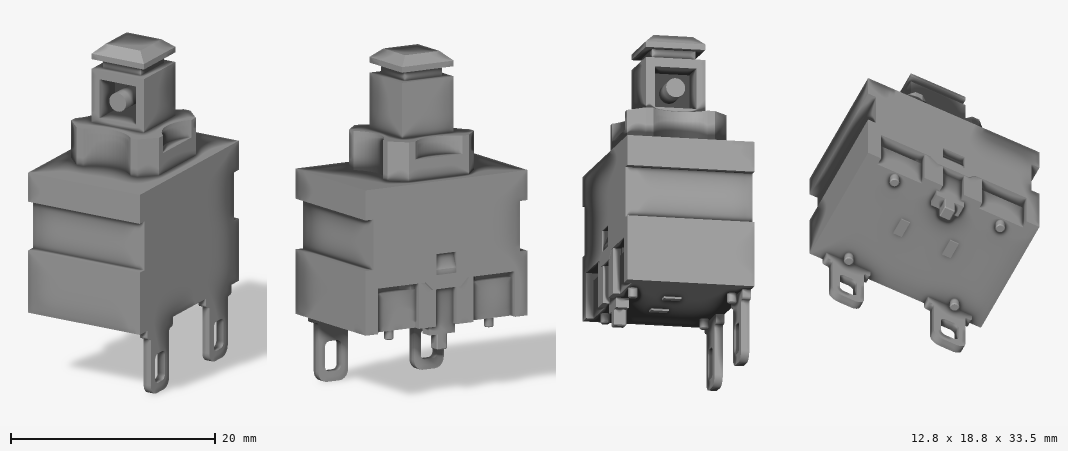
import cadquery as cq


OVERALL_HEIGHT = 33.5

HOUSING_X = 12.8
HOUSING_Y = 18.8
HOUSING_DEPTH = 14.55
WAIST_Y = 17.02
WAIST_TOP_Z = -3.0
WAIST_BOTTOM_Z = -8.07
BOTTOM_Z = -HOUSING_DEPTH
LATCH_FACE_X = -HOUSING_X / 2
TERMINAL_FACE_X = HOUSING_X / 2

COLLAR_SIZE = 10.05
COLLAR_HEIGHT = 3.92
COLLAR_CHAMFER = 1.55
SCALLOP_CHORD = 5.43
SCALLOP_SAG = 1.17
SHORT_SCALLOP_HEIGHT = 1.8

PLUNGER_SIZE = 6.0
PLUNGER_TOP_Z = 9.48
NECK_SIZE = 4.35
CAP_BOTTOM_Z = 10.5
CAP_TOP_Z = 11.95
CAP_BEVEL_WIDTH = 1.0
CAP_BEVEL_HEIGHT = 0.9
WINDOW_X = 4.2
WINDOW_Z = 4.05
WINDOW_CENTER_Z = 6.53
WINDOW_DEPTH = PLUNGER_SIZE / 2
WINDOW_PIN_DIAMETER = 1.9

RECESS_DEPTH = 0.77
BAY_CENTER_Y = 5.55
BAY_WIDTH = 4.82
BAY_INNER_Y = BAY_CENTER_Y - BAY_WIDTH / 2
BAY_OUTER_Y = BAY_CENTER_Y + BAY_WIDTH / 2
BAY_TOP_Z = -9.98
SLIT_HEIGHT = 0.7
SLIT_EXTRA_DEPTH = 0.1
SLIT_RAMP_INNER_Y = 3.6
SLIT_RAMP_OUTER_Y = 4.42
CHANNEL_WIDTH = 2.35
CHANNEL_TOP_Z = -10.8
POST_RELIEF_DEPTH = 0.07
POST_RELIEF_FLAT_Y = 1.65
POST_RELIEF_SHOULDER_Y = 2.48

LATCH_WIDTH = CHANNEL_WIDTH
LATCH_TOP_Z = -7.27
LATCH_BOTTOM_Z = -9.38
LATCH_DEPTH = 0.67
WEDGE_TOP_Z = -7.57
WEDGE_NOSE_Z = -8.88
WEDGE_NOSE_DEPTH = 0.15

TAB_THICKNESS = 1.27
TAB_WIDTH = 2.98
TAB_DROP = 0.97
TAB_TIP_WIDTH = 1.17
TAB_TIP_DROP = 2.55
TAB_CHAMFER = 0.1

FOOT_DIAMETER = 0.95
FOOT_DROP = 0.97
FOOT_CHAMFER = 0.1
FOOT_X = 5.0
FOOT_Y = 5.8
PAD_X_MIN = -1.2
PAD_X_MAX = 0.57
PAD_WIDTH = 0.95
PAD_DROP = 0.2

LUG_THICKNESS = 0.85
LUG_STEM_WIDTH = 3.45
LUG_SHOULDER_DROP = 0.97
LUG_BOTTOM_Z = CAP_TOP_Z - OVERALL_HEIGHT
LUG_SHOULDER_RADIUS = 0.27
LUG_TIP_RADIUS = 1.05
LUG_HOLE_WIDTH = 1.88
LUG_HOLE_TOP_Z = -17.5
LUG_HOLE_BOTTOM_Z = -20.55
LUG_HOLE_RADIUS = 0.55


def block(x_range, y_range, z_range):
    """Axis-aligned box between the given pairs of limits."""
    lows, highs = zip(x_range, y_range, z_range)
    lengths = [high - low for low, high in zip(lows, highs)]
    return cq.Workplane("XY").box(*lengths, centered=False).translate(lows)


def square_post(size, bottom_z, top_z):
    """Square prism centred on the Z axis."""
    return cq.Workplane("XY").workplane(offset=bottom_z).rect(size, size).extrude(top_z - bottom_z)


def around(center, width):
    """Limits of a span of the given width."""
    return center - width / 2, center + width / 2


def make_housing():
    """Block with a groove along each Y end."""
    body = block(around(0, HOUSING_X), around(0, HOUSING_Y), (BOTTOM_Z, 0))
    for side in (-1, 1):
        groove_y = sorted((side * WAIST_Y / 2, side * HOUSING_Y / 2))
        body = body.cut(block(around(0, HOUSING_X), groove_y, (WAIST_BOTTOM_Z, WAIST_TOP_Z)))
    return body


def make_collar():
    """Chamfered square collar scalloped on its four sides."""
    collar = square_post(COLLAR_SIZE, 0, COLLAR_HEIGHT).edges("|Z").chamfer(COLLAR_CHAMFER)
    edge = COLLAR_SIZE / 2
    half_chord = SCALLOP_CHORD / 2
    for index in range(4):
        full_height = index % 2 == 0
        height = COLLAR_HEIGHT if full_height else SHORT_SCALLOP_HEIGHT
        scallop = (
            cq.Workplane("XY")
            .workplane(offset=COLLAR_HEIGHT - height)
            .moveTo(-half_chord, -edge)
            .threePointArc((0, SCALLOP_SAG - edge), (half_chord, -edge))
            .close()
            .extrude(height)
        )
        collar = collar.cut(scallop.rotate((0, 0, 0), (0, 0, 1), 90 * index))
    return collar


def make_plunger():
    """Square plunger with a front window, a pin inside it, a neck and a bevelled cap."""
    front_y = -PLUNGER_SIZE / 2
    plunger = square_post(PLUNGER_SIZE, 0, PLUNGER_TOP_Z)
    window_y = (front_y, front_y + WINDOW_DEPTH)
    plunger = plunger.cut(block(around(0, WINDOW_X), window_y, around(WINDOW_CENTER_Z, WINDOW_Z)))
    pin = (
        cq.Workplane("XZ", origin=(0, front_y, WINDOW_CENTER_Z))
        .circle(WINDOW_PIN_DIAMETER / 2)
        .extrude(-WINDOW_DEPTH)
    )
    neck = square_post(NECK_SIZE, PLUNGER_TOP_Z, CAP_BOTTOM_Z)
    cap = (
        square_post(PLUNGER_SIZE, CAP_BOTTOM_Z, CAP_TOP_Z)
        .faces(">Z")
        .chamfer(CAP_BEVEL_HEIGHT, CAP_BEVEL_WIDTH)
    )
    return plunger.union(pin).union(neck).union(cap)


def make_slit(side):
    """Slit at the top of a bay; its back ramps inward at 45 degrees, away from the middle."""
    shallow_x = LATCH_FACE_X + RECESS_DEPTH + SLIT_EXTRA_DEPTH
    deep_x = shallow_x + SLIT_RAMP_OUTER_Y - SLIT_RAMP_INNER_Y
    profile = [
        (LATCH_FACE_X, side * BAY_INNER_Y),
        (shallow_x, side * BAY_INNER_Y),
        (shallow_x, side * SLIT_RAMP_INNER_Y),
        (deep_x, side * SLIT_RAMP_OUTER_Y),
        (deep_x, side * BAY_OUTER_Y),
        (LATCH_FACE_X, side * BAY_OUTER_Y),
    ]
    return (
        cq.Workplane("XY")
        .workplane(offset=BAY_TOP_Z)
        .polyline(profile)
        .close()
        .extrude(-SLIT_HEIGHT)
    )


def make_side_recesses():
    """Material removed from the latch side: two bays with a slit at the top, and a channel."""
    back_x = LATCH_FACE_X + RECESS_DEPTH
    recess_x = (LATCH_FACE_X, back_x)
    recesses = block(recess_x, around(0, CHANNEL_WIDTH), (BOTTOM_Z, CHANNEL_TOP_Z))
    for side in (-1, 1):
        bay_y = around(side * BAY_CENTER_Y, BAY_WIDTH)
        recesses = recesses.union(block(recess_x, bay_y, (BOTTOM_Z, BAY_TOP_Z)))
        recesses = recesses.union(make_slit(side))
    return recesses


def make_post_relief():
    """Shallow relief over the posts between the bays, under a trapezoidal edge."""
    profile = [
        (BAY_INNER_Y, BOTTOM_Z),
        (BAY_INNER_Y, BAY_TOP_Z),
        (POST_RELIEF_SHOULDER_Y, BAY_TOP_Z),
        (POST_RELIEF_FLAT_Y, CHANNEL_TOP_Z),
        (-POST_RELIEF_FLAT_Y, CHANNEL_TOP_Z),
        (-POST_RELIEF_SHOULDER_Y, BAY_TOP_Z),
        (-BAY_INNER_Y, BAY_TOP_Z),
        (-BAY_INNER_Y, BOTTOM_Z),
    ]
    return (
        cq.Workplane("YZ", origin=(LATCH_FACE_X, 0, 0))
        .polyline(profile)
        .close()
        .extrude(POST_RELIEF_DEPTH)
    )


def make_latch_pocket():
    """Latch window, leaving a sloped wedge at its lower end."""
    back_x = LATCH_FACE_X + LATCH_DEPTH
    nose_x = LATCH_FACE_X + WEDGE_NOSE_DEPTH
    profile = [
        (LATCH_FACE_X, LATCH_TOP_Z),
        (back_x, LATCH_TOP_Z),
        (back_x, WEDGE_TOP_Z),
        (nose_x, WEDGE_NOSE_Z),
        (nose_x, LATCH_BOTTOM_Z),
        (LATCH_FACE_X, LATCH_BOTTOM_Z),
    ]
    return cq.Workplane("XZ").polyline(profile).close().extrude(LATCH_WIDTH / 2, both=True)


def make_tab():
    """Stepped tab flush with the back of the channel."""
    tab_x_min = LATCH_FACE_X + RECESS_DEPTH
    tab_x = (tab_x_min, tab_x_min + TAB_THICKNESS)
    root = block(tab_x, around(0, TAB_WIDTH), (BOTTOM_Z - TAB_DROP, BOTTOM_Z))
    tip = block(tab_x, around(0, TAB_TIP_WIDTH), (BOTTOM_Z - TAB_TIP_DROP, BOTTOM_Z))
    tip = tip.edges("|Z or <Z").chamfer(TAB_CHAMFER)
    return root.union(tip)


def make_feet():
    """Four round feet with chamfered ends."""
    return (
        cq.Workplane("XY")
        .workplane(offset=BOTTOM_Z)
        .rect(2 * FOOT_X, 2 * FOOT_Y, forConstruction=True)
        .vertices()
        .circle(FOOT_DIAMETER / 2)
        .extrude(-FOOT_DROP)
        .faces("<Z")
        .chamfer(FOOT_CHAMFER)
    )


def make_pad(side):
    """Low pad under the housing, beside a bay."""
    pad_y = around(side * (BAY_INNER_Y - PAD_WIDTH / 2), PAD_WIDTH)
    return block((PAD_X_MIN, PAD_X_MAX), pad_y, (BOTTOM_Z - PAD_DROP, BOTTOM_Z))


def make_lug(side):
    """Flat solder lug with a shoulder, a rounded tip and a rounded rectangular hole."""
    center_y = side * BAY_CENTER_Y
    shoulder_z = BOTTOM_Z - LUG_SHOULDER_DROP
    lug_x = (TERMINAL_FACE_X - LUG_THICKNESS, TERMINAL_FACE_X)
    stem_y = around(center_y, LUG_STEM_WIDTH)

    shoulder = block(lug_x, around(center_y, BAY_WIDTH), (shoulder_z, BOTTOM_Z))
    shoulder = shoulder.edges("|X and <Z").fillet(LUG_SHOULDER_RADIUS)
    stem = block(lug_x, stem_y, (LUG_BOTTOM_Z, BOTTOM_Z))
    stem = stem.edges("|X and <Z").fillet(LUG_TIP_RADIUS)
    hole = block(lug_x, around(center_y, LUG_HOLE_WIDTH), (LUG_HOLE_BOTTOM_Z, LUG_HOLE_TOP_Z))
    hole = hole.edges("|X").fillet(LUG_HOLE_RADIUS)

    lug = shoulder.union(stem).cut(hole)
    reach = LUG_SHOULDER_RADIUS / 2
    inner_corners = cq.selectors.BoxSelector(
        (lug_x[0], stem_y[0] - reach, shoulder_z - reach),
        (lug_x[1], stem_y[1] + reach, shoulder_z + reach),
    )
    return lug.edges("|X").edges(inner_corners).fillet(LUG_SHOULDER_RADIUS)


result = make_housing()
result = result.cut(make_side_recesses()).cut(make_post_relief()).cut(make_latch_pocket())
result = result.union(make_collar()).union(make_plunger())
result = result.union(make_tab()).union(make_feet())
for side in (-1, 1):
    result = result.union(make_pad(side)).union(make_lug(side))